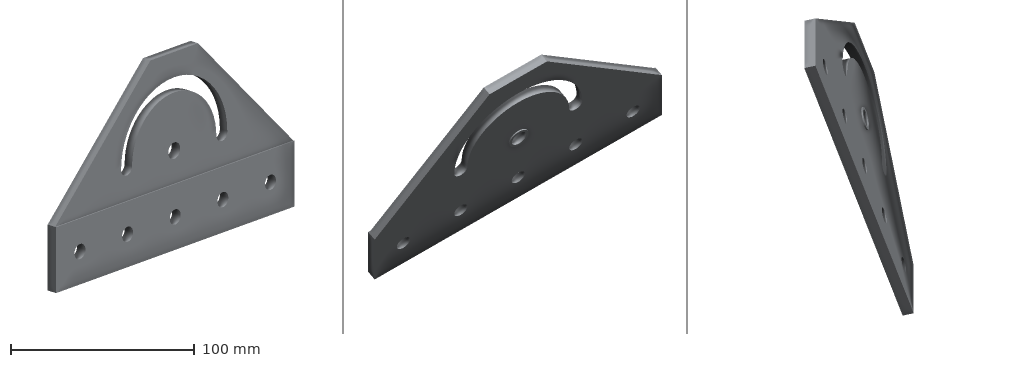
import cadquery as cq

length = 190.5
hole_pitch = length / 5
height = 3 * hole_pitch
side_height = hole_pitch
top_width = hole_pitch
plate_thickness = 5.5
foot_step = 0.8
hole_diameter = 8.8
hole_count = 5
hole_height = hole_pitch / 2

pivot_height = height / 2
slot_radius = hole_pitch
slot_width = hole_diameter

washer_diameter = 12.8
washer_bore = 9.5
washer_thickness = 0.8

foot_thickness = plate_thickness + foot_step


def make_blank():
    """Trapezoidal plate with a thicker foot along its lower edge."""
    plate = (
        cq.Workplane("YZ")
        .moveTo(-length / 2, 0)
        .lineTo(length / 2, 0)
        .lineTo(length / 2, side_height)
        .lineTo(top_width / 2, height)
        .lineTo(-top_width / 2, height)
        .lineTo(-length / 2, side_height)
        .close()
        .extrude(plate_thickness)
    )
    foot = cq.Workplane("XY").box(
        foot_thickness, length, side_height, centered=(False, True, False)
    )
    return plate.union(foot)


def make_slot_cutter():
    """Half-ring slot with round ends, passing through the plate."""
    outer_radius = slot_radius + slot_width / 2
    inner_radius = slot_radius - slot_width / 2
    end_depth = -slot_width / 2
    return (
        cq.Workplane("YZ", origin=(0, 0, pivot_height))
        .moveTo(-outer_radius, 0)
        .threePointArc((0, outer_radius), (outer_radius, 0))
        .threePointArc((slot_radius, end_depth), (inner_radius, 0))
        .threePointArc((0, inner_radius), (-inner_radius, 0))
        .threePointArc((-slot_radius, end_depth), (-outer_radius, 0))
        .close()
        .extrude(plate_thickness)
    )


def make_plate():
    """Plate with its row of mounting holes, pivot hole and slot."""
    mounting_holes = (
        cq.Workplane("YZ", origin=(0, 0, hole_height))
        .rarray(hole_pitch, 2, hole_count, 1)
        .circle(hole_diameter / 2)
        .extrude(foot_thickness)
    )
    pivot_hole = (
        cq.Workplane("YZ", origin=(0, 0, pivot_height))
        .circle(washer_bore / 2)
        .extrude(plate_thickness)
    )
    return make_blank().cut(mounting_holes).cut(pivot_hole).cut(make_slot_cutter())


def make_washer():
    """Flat ring resting on the front face of the plate."""
    return (
        cq.Workplane("YZ", origin=(0, 0, pivot_height))
        .circle(washer_diameter / 2)
        .circle(washer_bore / 2)
        .extrude(-washer_thickness)
    )


plate = make_plate()
washer = make_washer()

result = cq.Compound.makeCompound([plate.val(), washer.val()])